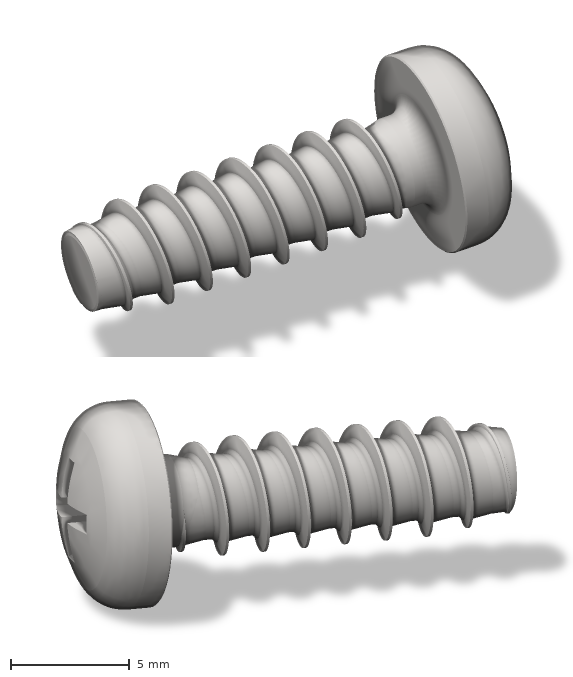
import cadquery as cq
import math


head_radius = 4.4
head_edge_radius = 1.75
dome_radius = 7.5
dome_height = 3.46
head_chamfer = 0.06

recess_width = 0.86
recess_mouth_radius = 2.2
recess_depth = 2.3
recess_taper = 26.5

shank_length = 16.0
tip_cone_height = 0.03
tip_cone_radius = 1.64
tip_chamfer_length = 0.03
neck_radius = 1.98
neck_fillet = 0.7
neck_end_depth = 1.2
core_radius = 1.78
core_start_depth = 2.0
tip_radius = 1.75
tip_taper_length = 0.8

pitch = 1.8
crest_radius = 2.5
crest_half_width = 0.06
crest_phase = 0.24
foot_radius = 1.93
head_flank_slope = 0.27
tip_flank_slope = 0.34
head_swell_slope = 1.2
tip_swell_slope = 5.9
root_overlap = 0.02
thread_inner_radius = 1.4
least_ridge = 0.05

run_in_radius = 2.12
run_in_end_depth = 2.95
run_out_start_depth = 13.25
run_out_radius = 1.81

thread_first_turn = -1.25
piece_turns = 0.5
piece_steps = 8


def axis_revolve(sketch):
    return sketch.revolve(360, (0, 0, 0), (0, 1, 0))


def make_head():
    edge_center_r = head_radius - head_edge_radius
    dome_center_y = dome_height - dome_radius
    center_distance = dome_radius - head_edge_radius
    edge_center_y = dome_center_y + math.sqrt(center_distance**2 - edge_center_r**2)
    tangent_angle = math.atan2(edge_center_y - dome_center_y, edge_center_r)

    def on_edge(angle):
        return (
            edge_center_r + head_edge_radius * math.cos(angle),
            edge_center_y + head_edge_radius * math.sin(angle),
        )

    dome_mid_angle = (tangent_angle + math.pi / 2) / 2
    dome_mid = (
        dome_radius * math.cos(dome_mid_angle),
        dome_center_y + dome_radius * math.sin(dome_mid_angle),
    )
    profile = (
        cq.Workplane("ZY")
        .moveTo(0, 0)
        .lineTo(head_radius - head_chamfer, 0)
        .lineTo(head_radius, head_chamfer)
        .lineTo(*on_edge(0))
        .threePointArc(on_edge(tangent_angle / 2), on_edge(tangent_angle))
        .threePointArc(dome_mid, (0, dome_height))
        .close()
    )
    return axis_revolve(profile)


def make_shank():
    tip_face_y = tip_cone_height - shank_length
    fillet_offset = neck_fillet * (1 - math.sqrt(0.5))
    profile = (
        cq.Workplane("ZY")
        .moveTo(0, 0)
        .lineTo(neck_radius + neck_fillet, 0)
        .threePointArc(
            (neck_radius + fillet_offset, -fillet_offset),
            (neck_radius, -neck_fillet),
        )
        .lineTo(neck_radius, -neck_end_depth)
        .lineTo(core_radius, -core_start_depth)
        .lineTo(core_radius, tip_taper_length - shank_length)
        .lineTo(tip_radius, tip_face_y + tip_chamfer_length)
        .lineTo(tip_cone_radius, tip_face_y)
        .lineTo(0, -shank_length)
        .close()
    )
    return axis_revolve(profile)


def crest_radius_at(depth):
    run_in_rate = (crest_radius - run_in_radius) / (run_in_end_depth - neck_end_depth)
    run_out_rate = (crest_radius - run_out_radius) / (shank_length - run_out_start_depth)
    run_in_drop = run_in_rate * max(0, run_in_end_depth - depth)
    run_out_drop = run_out_rate * max(0, depth - run_out_start_depth)
    return crest_radius - run_in_drop - run_out_drop


def thread_profile(depth):
    """Corners (radius, shift towards the tip) of the thread section at a crest depth."""
    crest = crest_radius_at(depth)
    foot = min(foot_radius, crest - least_ridge)
    ridge = crest - foot
    root = min(core_radius, foot - least_ridge) - root_overlap
    swell = foot - root
    head_foot = -crest_half_width - ridge * head_flank_slope
    tip_foot = crest_half_width + ridge * tip_flank_slope
    head_root = head_foot - swell * head_swell_slope
    tip_root = tip_foot + swell * tip_swell_slope
    return [
        (thread_inner_radius, head_root),
        (root, head_root),
        (foot, head_foot),
        (crest, -crest_half_width),
        (crest, crest_half_width),
        (foot, tip_foot),
        (root, tip_root),
        (thread_inner_radius, tip_root),
    ]


def thread_section(turn):
    angle = 2 * math.pi * turn
    depth = crest_phase + pitch * turn
    return [
        cq.Vector(radius * math.cos(angle), -depth - shift, radius * math.sin(angle))
        for radius, shift in thread_profile(depth)
    ]


def make_thread():
    """Right-handed ridge bounded by ruled faces between the helices of its corners."""
    needed_turns = shank_length / pitch - thread_first_turn
    piece_count = math.ceil(needed_turns / piece_turns)
    last_turn = thread_first_turn + piece_count * piece_turns
    faces = []
    for piece in range(piece_count):
        start_turn = thread_first_turn + piece * piece_turns
        sections = [
            thread_section(start_turn + piece_turns * step / piece_steps)
            for step in range(piece_steps + 1)
        ]
        helices = [cq.Edge.makeSpline(list(track)) for track in zip(*sections)]
        for helix, following in zip(helices, helices[1:] + helices[:1]):
            faces.append(cq.Face.makeRuledSurface(helix, following))
    for end_turn in (thread_first_turn, last_turn):
        outline = cq.Wire.makePolygon(thread_section(end_turn), close=True)
        faces.append(cq.Face.makeFromWires(outline))
    ridge = cq.Workplane(cq.Solid.makeSolid(cq.Shell.makeShell(faces)))

    threaded_length = shank_length - tip_cone_height - tip_chamfer_length - neck_end_depth
    threaded_zone = (
        cq.Workplane("XZ", origin=(0, -neck_end_depth, 0))
        .circle(head_radius)
        .extrude(threaded_length)
    )
    return threaded_zone.intersect(ridge)


def make_recess():
    """Cross of two wings whose ends slope inwards towards the bottom."""
    mouth_y = dome_height - dome_radius + math.sqrt(dome_radius**2 - recess_mouth_radius**2)
    floor_y = dome_height - recess_depth
    slope = math.tan(math.radians(recess_taper))
    floor_reach = recess_mouth_radius - (mouth_y - floor_y) * slope
    top_reach = recess_mouth_radius + (dome_height - mouth_y) * slope
    wing = (
        cq.Workplane("XY")
        .polyline(
            [
                (-floor_reach, floor_y),
                (floor_reach, floor_y),
                (top_reach, dome_height),
                (-top_reach, dome_height),
            ]
        )
        .close()
        .extrude(recess_width / 2, both=True)
    )
    return wing.union(wing.rotate((0, 0, 0), (0, 1, 0), 90))


body = make_head().union(make_shank()).cut(make_recess())
result = body.union(make_thread())